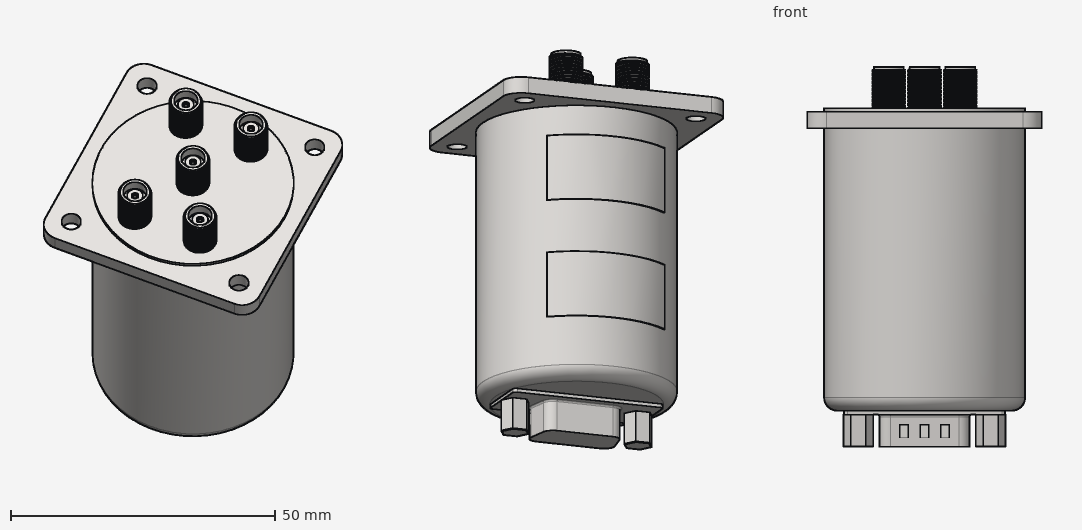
import cadquery as cq
import math

flange_side = 44.45
flange_thickness = 3.2
flange_corner_radius = 3.6
lid_height = 0.65
connector_height = 7.85
body_length = 53.45
plug_plate_thickness = 0.7
total_height = 71.9
plug_height = (total_height - flange_thickness - lid_height - connector_height
               - body_length - plug_plate_thickness)
lid_top = flange_thickness + lid_height
plug_plate_bottom = -body_length - plug_plate_thickness

body_radius = 19.05
body_bottom_fillet = 2.6
screw_hole_diameter = 3.7
screw_hole_spacing = 34.8

connector_spacing_x = 13.5
connector_spacing_y = 23.4
thread_radius = 3.2
thread_depth = 0.325
thread_pitch = 0.705
thread_crest_width = 0.11
groove_overshoot = 0.1
connector_tip_height = 0.6
tip_radius = thread_radius - thread_depth
bore_radius = 2.2
bore_depth = 2.15
insulator_radius = 1.5
insulator_recess = 1.3
pin_recess_radius = 0.65
pin_recess_depth = 0.35
pin_hole_radius = 0.35
pin_hole_depth = 1.45

label_thickness = 0.3
label_width = 23.9
label_height = 12.65
label_tops = (-5.75, -28.7)

plug_plate_length = 30.5
plug_plate_width = 12.65
plug_plate_corner = 0.65
plug_length = 17.1
plug_width = 8.6
plug_side_angle = 10.0
plug_corner_radius = 2.1
plug_base_fillet = 0.35
dimple_width = 1.65
dimple_height = 2.45
dimple_pitch = 3.9
dimple_top_drop = 1.9
dimple_depth = 0.2
post_across_corners = 5.7
post_spacing = 25.0
post_end_chamfer = 0.15


def make_body():
    body = cq.Workplane("XY").circle(body_radius).extrude(-body_length)
    return body.faces("<Z").edges().fillet(body_bottom_fillet)


def make_flange():
    flange = cq.Workplane("XY").rect(flange_side, flange_side).extrude(flange_thickness)
    flange = flange.edges("|Z").fillet(flange_corner_radius)
    flange = (flange.faces(">Z").workplane()
              .rect(screw_hole_spacing, screw_hole_spacing, forConstruction=True)
              .vertices().hole(screw_hole_diameter))
    lid = cq.Workplane("XY").workplane(offset=flange_thickness).circle(body_radius).extrude(lid_height)
    return flange.union(lid)


def make_thread_groove(length):
    """V-shaped helical cutter that overruns both ends of the threaded length."""
    turns = math.ceil(length / thread_pitch) + 1
    helix = cq.Wire.makeHelix(thread_pitch, turns * thread_pitch, tip_radius)
    outer_radius = thread_radius + groove_overshoot
    half_width = (thread_pitch - thread_crest_width) / 2
    profile = (cq.Workplane("XZ")
               .moveTo(tip_radius, 0)
               .lineTo(outer_radius, -half_width)
               .lineTo(outer_radius, half_width)
               .close())
    groove = profile.sweep(cq.Workplane(obj=helix), isFrenet=True)
    return groove.translate((0, 0, -thread_pitch))


def make_connector():
    """Threaded socket standing on Z = 0."""
    threaded_length = connector_height - connector_tip_height
    rod = cq.Workplane("XY").circle(thread_radius).extrude(threaded_length)
    rod = rod.cut(make_thread_groove(threaded_length))
    tip = (cq.Workplane("XY").workplane(offset=threaded_length)
           .circle(tip_radius).extrude(connector_tip_height))
    rod = rod.union(tip)
    bore = (cq.Workplane("XY").workplane(offset=connector_height)
            .circle(bore_radius).extrude(-bore_depth))
    insulator = (cq.Workplane("XY").workplane(offset=connector_height - bore_depth)
                 .circle(insulator_radius).extrude(bore_depth - insulator_recess))
    pin_recess = (cq.Workplane("XY").workplane(offset=connector_height - insulator_recess)
                  .circle(pin_recess_radius).extrude(-pin_recess_depth))
    pin_hole = (cq.Workplane("XY").workplane(offset=connector_height - insulator_recess)
                .circle(pin_hole_radius).extrude(-pin_hole_depth))
    return rod.cut(bore).union(insulator).cut(pin_recess).cut(pin_hole)


def make_label(top):
    ring = (cq.Workplane("XY").workplane(offset=top)
            .circle(body_radius + label_thickness).circle(body_radius - label_thickness)
            .extrude(-label_height))
    window = (cq.Workplane("XY").workplane(offset=top)
              .center(0, body_radius).rect(label_width, body_radius).extrude(-label_height))
    return ring.intersect(window)


def make_plug():
    """Plug shell on its base plate, hanging below the body."""
    plate = (cq.Workplane("XY").workplane(offset=-body_length)
             .rect(plug_plate_length, plug_plate_width).extrude(-plug_plate_thickness)
             .edges("|Z").fillet(plug_plate_corner))

    angle = math.radians(plug_side_angle)
    corner_loss = plug_corner_radius * (math.tan(math.pi / 4 + angle / 2) - 1)
    long_half = plug_length / 2 + corner_loss
    short_half = long_half - plug_width * math.tan(angle)
    shell = (cq.Workplane("XY").workplane(offset=plug_plate_bottom)
             .polyline([(-long_half, -plug_width / 2), (long_half, -plug_width / 2),
                        (short_half, plug_width / 2), (-short_half, plug_width / 2)])
             .close().extrude(-plug_height)
             .edges("|Z").fillet(plug_corner_radius))

    joined = plate.union(shell)
    reach_x = plug_length / 2 + plug_base_fillet
    reach_y = plug_width / 2 + plug_base_fillet
    base_edges = cq.selectors.BoxSelector(
        (-reach_x, -reach_y, plug_plate_bottom - plug_base_fillet),
        (reach_x, reach_y, plug_plate_bottom + plug_base_fillet))
    return joined.faces("<Z[-2]").edges(base_edges).fillet(plug_base_fillet)


def make_dimples():
    """Recesses in the -Y wall of the plug, deepest at the top and running out below."""
    top = plug_plate_bottom - dimple_top_drop
    dimple = (cq.Workplane("YZ")
              .polyline([(-plug_width / 2, top - dimple_height),
                         (-plug_width / 2 + dimple_depth, top),
                         (-plug_width / 2, top)])
              .close().extrude(dimple_width / 2, both=True))
    dimples = dimple
    for side in (-1, 1):
        dimples = dimples.union(dimple.translate((side * dimple_pitch, 0, 0)))
    return dimples


def make_posts():
    posts = (cq.Workplane("XY").workplane(offset=plug_plate_bottom)
             .pushPoints([(-post_spacing / 2, 0), (post_spacing / 2, 0)])
             .polygon(6, post_across_corners).extrude(-plug_height))
    return posts.faces("<Z").chamfer(post_end_chamfer)


result = make_body().union(make_flange())
result = result.union(make_plug()).cut(make_dimples()).union(make_posts())
for label_top in label_tops:
    result = result.union(make_label(label_top))

connector = make_connector()
corner_places = [(sx * connector_spacing_x / 2, sy * connector_spacing_y / 2)
                 for sx in (-1, 1) for sy in (-1, 1)]
for x, y in [(0, 0)] + corner_places:
    result = result.union(connector.translate((x, y, lid_top)))
result = result.solids()